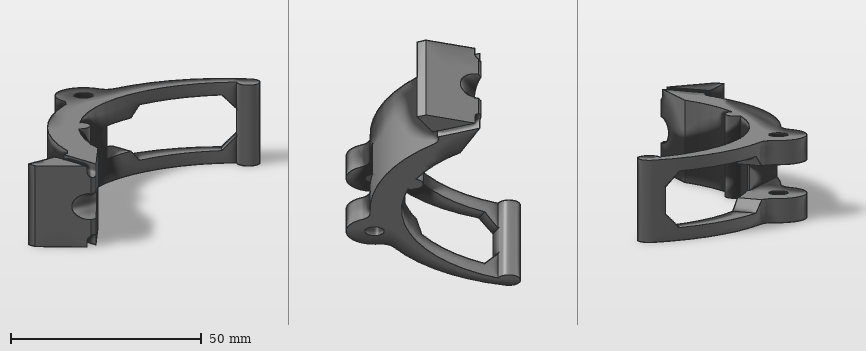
import cadquery as cq
import math


overall_length = 98.4

height = 22.0
bore_radius = 43.0
back_radius = 51.25
upper_back_center = (-2.8, -4.1)
bead_radius = 3.05
bead_angles = (135, 225)

hinge_center = (-50.6, -9.8)
hinge_radius = 7.5
pin_diameter = 5.0
blend_radius = 3.9
lug_gap = 9.05
lug_gap_floor_x = -42.5
lug_gap_bore_opening = 9.5

window_step = 3.05
window_height = lug_gap + 2 * window_step
window_end_angle = 139
window_end_chamfer = 3.9

hook_wall_x = -12.9
hook_bottom_corner_x = -10.3
tip_x = 0
tip_half_width = 0.9
groove_radius = 1.6
groove_depth = 3.2
notch_radius = 3.5

clearance = 4.9


def polar(radius, angle, center=(0, 0)):
    """Point at a radius and an angle in degrees around a center."""
    radians = math.radians(angle)
    return (center[0] + radius * math.cos(radians), center[1] + radius * math.sin(radians))


def angle_of(point, center=(0, 0)):
    """Angle from 0 to 360 degrees of a point seen from a center."""
    return math.degrees(math.atan2(point[1] - center[1], point[0] - center[0])) % 360


def arc(outline, radius, start_angle, end_angle, center=(0, 0)):
    """Continue an outline along a circular arc."""
    middle_angle = (start_angle + end_angle) / 2
    return outline.threePointArc(
        polar(radius, middle_angle, center), polar(radius, end_angle, center)
    )


def prism(outline, thickness):
    """Close an outline and extrude it to both sides of Z = 0."""
    return outline.close().extrude(thickness / 2, both=True)


bead_centers = [polar(bore_radius, angle) for angle in bead_angles]
hinge_angle = angle_of(hinge_center)

hook_bottom_y = bead_centers[0][1] + bead_radius - overall_length

groove_y = hook_bottom_y + (tip_x - hook_bottom_corner_x) + tip_half_width
tip_top_y = groove_y + tip_half_width


def arm_and_hook():
    end_bead = bead_centers[0]
    upper_back_radius = bead_radius + math.dist(end_bead, upper_back_center)
    upper_start = angle_of(end_bead, upper_back_center)
    upper_end = 180 - math.degrees(
        math.asin((hinge_center[1] - upper_back_center[1]) / upper_back_radius)
    )

    fillet_x = hook_wall_x - blend_radius
    fillet_y = -math.sqrt((back_radius + blend_radius) ** 2 - fillet_x**2)
    fillet_center = (fillet_x, fillet_y)
    back_end = angle_of(fillet_center)

    slope_sum = tip_x + tip_top_y
    slope_x = (slope_sum + math.sqrt(2 * bore_radius**2 - slope_sum**2)) / 2
    bore_end = angle_of((slope_x, slope_sum - slope_x))

    outline = cq.Workplane("XY").moveTo(*end_bead)
    outline = outline.lineTo(*polar(upper_back_radius, upper_start, upper_back_center))
    outline = arc(outline, upper_back_radius, upper_start, upper_end, upper_back_center)
    outline = outline.lineTo(*polar(back_radius, hinge_angle))
    outline = arc(outline, back_radius, hinge_angle, back_end)
    outline = arc(outline, blend_radius, back_end - 180, 0, fillet_center)
    outline = outline.lineTo(hook_wall_x, hook_bottom_y)
    outline = outline.lineTo(hook_bottom_corner_x, hook_bottom_y)
    outline = outline.lineTo(tip_x, groove_y - tip_half_width)
    outline = outline.lineTo(tip_x, tip_top_y)
    outline = outline.lineTo(*polar(bore_radius, bore_end))
    outline = arc(outline, bore_radius, bore_end, bead_angles[0])
    return prism(outline, height)


def hinge_boss(body):
    boss = cq.Workplane("XY").center(*hinge_center).circle(hinge_radius)
    body = body.union(boss.extrude(height / 2, both=True))
    boss_bounds = cq.selectors.BoxSelector(
        (hinge_center[0] - hinge_radius, hinge_center[1] - hinge_radius, -height),
        (hinge_center[0] + hinge_radius, hinge_center[1] + hinge_radius, height),
    )
    corners = body.edges("|Z").edges(boss_bounds).edges(">Y or <Y")
    body = corners.fillet(blend_radius)
    pin_hole = cq.Workplane("XY").center(*hinge_center).circle(pin_diameter / 2)
    return body.cut(pin_hole.extrude(height, both=True))


def beads():
    return (
        cq.Workplane("XY")
        .pushPoints(bead_centers)
        .circle(bead_radius)
        .extrude(height / 2, both=True)
    )


def lug_gap_cutter():
    left_x = hinge_center[0] - hinge_radius - clearance
    bottom_y = -back_radius
    open_x = -bore_radius + clearance
    gap = cq.Workplane("XY").moveTo(left_x, 0).lineTo(open_x, 0)
    gap = gap.lineTo(open_x, -lug_gap_bore_opening).lineTo(lug_gap_floor_x, -lug_gap_bore_opening)
    gap = gap.lineTo(lug_gap_floor_x, bottom_y).lineTo(left_x, bottom_y)
    return prism(gap, lug_gap)


def window_cutter():
    """Wedge between two radial planes, chamfered at the corners of both ends."""
    inner = bore_radius - clearance
    outer = back_radius + clearance
    wedge = cq.Workplane("XY").moveTo(-inner, 0).lineTo(-outer, 0)
    wedge = arc(wedge, outer, 180, window_end_angle)
    wedge = wedge.lineTo(*polar(inner, window_end_angle))
    wedge = prism(arc(wedge, inner, window_end_angle, 180), window_height)
    end_face = polar((inner + outer) / 2, window_end_angle)
    wedge = wedge.faces("<Y").edges("|X").chamfer(window_step)
    end_edges = wedge.faces(cq.selectors.NearestToPointSelector((*end_face, 0))).edges("#Z")
    return end_edges.chamfer(window_end_chamfer)


def cord_groove():
    """Round-bottomed groove across both flat sides and the back wall of the hook."""
    axis_depth = groove_depth - groove_radius
    axis_x = hook_wall_x + axis_depth
    axis_z = height / 2 - axis_depth
    length = 2 * abs(hook_wall_x)
    width = 2 * groove_radius
    start_x = hook_wall_x - clearance
    back_size = (clearance + axis_depth, width, height)

    back = cq.Workplane("XY").box(*back_size, centered=(False, True, True))
    groove = back.translate((start_x, groove_y, 0))
    round_back = cq.Workplane("XY").center(axis_x, groove_y).circle(groove_radius)
    groove = groove.union(round_back.extrude(height / 2, both=True))

    side = cq.Workplane("XY").box(length, width, axis_depth, centered=(False, True, False))
    side = side.translate((start_x, groove_y, axis_z))
    round_side = cq.Workplane("YZ").center(groove_y, axis_z).circle(groove_radius).extrude(length)
    side = side.union(round_side.translate((start_x, 0, 0)))
    return groove.union(side).union(side.mirror("XY"))


def tip_notch():
    """Round notch running along Y through the hook tip."""
    notch = cq.Workplane("XZ").center(tip_x, 0).circle(notch_radius)
    return notch.extrude(abs(hook_bottom_y) + clearance)


result = hinge_boss(arm_and_hook()).union(beads())
for cutter in (lug_gap_cutter(), window_cutter(), cord_groove(), tip_notch()):
    result = result.cut(cutter)